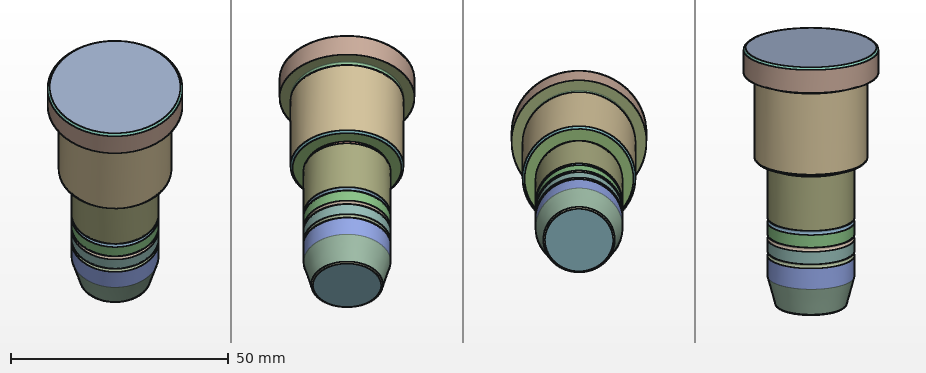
import cadquery as cq
import math

total_length = 62.0
flange_diameter = 31.0
barrel_diameter = 26.0
pin_diameter = 20.0

flange_thickness = 6.0
barrel_end_depth = 27.0
tip_length = 7.0

edge_chamfer = 0.5
tip_chamfer = 0.3
tip_angle = 15.0

groove_radius = 0.5
relief_width = 1.0
relief_depth = 0.5
ring_groove_count = 3
ring_groove_pitch = 4.0
first_ring_groove_depth = 41.5

flange_bottom = total_length - flange_thickness
barrel_bottom = total_length - barrel_end_depth


def cylinder(diameter, bottom, height):
    return cq.Workplane("XY").workplane(offset=bottom).circle(diameter / 2).extrude(height)


def round_groove(diameter, height):
    """Ring with a round section, centred on the surface of a cylinder."""
    return (
        cq.Workplane("XZ")
        .center(diameter / 2, height)
        .circle(groove_radius)
        .revolve(360, (-diameter / 2, 0), (-diameter / 2, 1))
    )


def make_flange():
    flange = cylinder(flange_diameter, flange_bottom, flange_thickness)
    return flange.faces(">Z").chamfer(edge_chamfer)


def make_barrel():
    barrel = cylinder(barrel_diameter, barrel_bottom, flange_bottom - barrel_bottom)
    barrel = barrel.faces("<Z").chamfer(edge_chamfer)
    return barrel.cut(round_groove(barrel_diameter, flange_bottom - groove_radius))


def make_pin():
    """Pin with a square relief below the barrel, ring grooves and a conical tip."""
    relief_bottom = barrel_bottom - relief_width
    relief = cylinder(pin_diameter - 2 * relief_depth, relief_bottom, relief_width)
    pin = cylinder(pin_diameter, tip_length, relief_bottom - tip_length)

    tip_inset = tip_length * math.tan(math.radians(tip_angle))
    pin_radius = pin_diameter / 2
    tip = cq.Workplane(cq.Solid.makeCone(pin_radius - tip_inset, pin_radius, tip_length))
    tip = tip.faces("<Z").chamfer(tip_chamfer)

    pin = pin.union(relief).union(tip)
    for index in range(ring_groove_count):
        groove_height = total_length - first_ring_groove_depth - index * ring_groove_pitch
        pin = pin.cut(round_groove(pin_diameter, groove_height))
    return pin


result = make_flange().union(make_barrel()).union(make_pin())